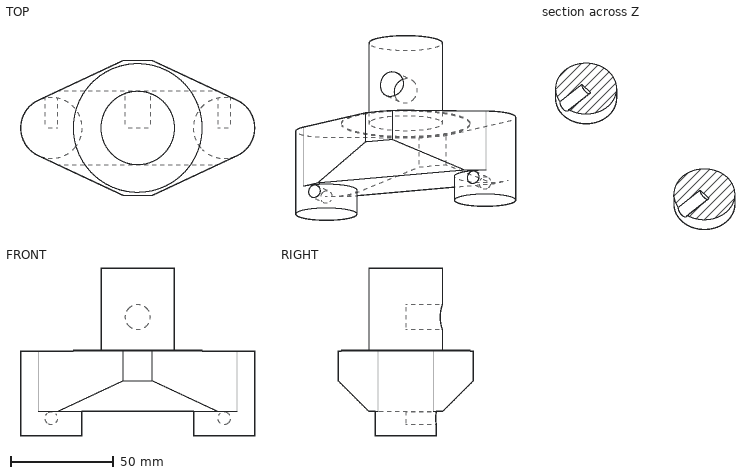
import cadquery as cq
import math

overall_length = 114.5
plate_width = 66.0
overall_height = 82.0

pin_diameter = 30.0
pin_radius = pin_diameter / 2
pin_offset = overall_length / 2 - pin_radius

plate_bottom = 11.9
plate_top = 41.4
plate_thickness = plate_top - plate_bottom
side_flat_length = 14.2
edge_chamfer = 15.0

disc_diameter = 63.0
disc_height = 0.5
disc_top = plate_top + disc_height
shaft_diameter = 36.0

shaft_hole_diameter = 12.2
shaft_hole_height = 58.0
pin_hole_diameter = 6.2
pin_hole_height = 8.6


def make_plate():
    """Chamfered plate whose slanted edges run tangent into the end pins, which round off its ends."""
    corner_x = side_flat_length / 2
    corner_y = plate_width / 2
    to_corner_x = corner_x - pin_offset
    corner_distance = math.hypot(to_corner_x, corner_y)
    normal_angle = math.atan2(corner_y, to_corner_x) - math.acos(pin_radius / corner_distance)
    tangent_x = pin_offset + pin_radius * math.cos(normal_angle)
    tangent_y = pin_radius * math.sin(normal_angle)

    return (
        cq.Workplane("XY", origin=(0, 0, plate_bottom))
        .polyline([
            (-corner_x, corner_y),
            (corner_x, corner_y),
            (tangent_x, tangent_y),
            (tangent_x, -tangent_y),
            (corner_x, -corner_y),
            (-corner_x, -corner_y),
            (-tangent_x, -tangent_y),
            (-tangent_x, tangent_y),
        ])
        .close()
        .extrude(plate_thickness)
        .intersect(make_chamfer_profile())
    )


def make_chamfer_profile():
    """Bar along X whose section slopes in at 45 degrees towards the bottom."""
    half_width = plate_width / 2
    half_bottom = half_width - edge_chamfer
    chamfer_top = plate_bottom + edge_chamfer
    return (
        cq.Workplane("YZ")
        .polyline([
            (-half_bottom, plate_bottom),
            (half_bottom, plate_bottom),
            (half_width, chamfer_top),
            (half_width, plate_top),
            (-half_width, plate_top),
            (-half_width, chamfer_top),
        ])
        .close()
        .extrude(overall_length / 2, both=True)
    )


def make_pins():
    return (
        cq.Workplane("XY")
        .pushPoints([(-pin_offset, 0), (pin_offset, 0)])
        .circle(pin_radius)
        .extrude(plate_top)
    )


def make_disc_and_shaft():
    disc = cq.Workplane("XY", origin=(0, 0, plate_top)).circle(disc_diameter / 2).extrude(disc_height)
    shaft = (
        cq.Workplane("XY", origin=(0, 0, disc_top))
        .circle(shaft_diameter / 2)
        .extrude(overall_height - disc_top)
    )
    return disc.union(shaft)


def make_cross_hole(x, height, hole_diameter, body_diameter):
    """Cutter from the back of a round body to its axis."""
    body_radius = body_diameter / 2
    return (
        cq.Workplane("XZ", origin=(x, body_radius, height))
        .circle(hole_diameter / 2)
        .extrude(body_radius)
    )


result = make_plate().union(make_pins()).union(make_disc_and_shaft())
result = result.cut(make_cross_hole(0, shaft_hole_height, shaft_hole_diameter, shaft_diameter))
for pin_x in (-pin_offset, pin_offset):
    result = result.cut(make_cross_hole(pin_x, pin_hole_height, pin_hole_diameter, pin_diameter))